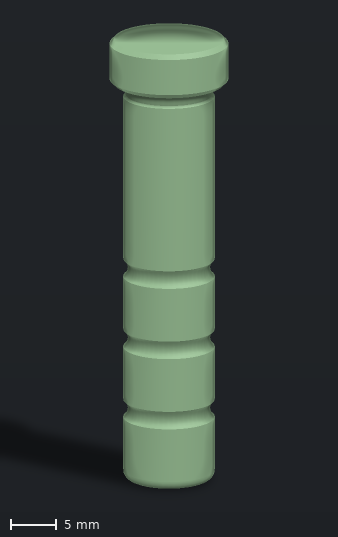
import cadquery as cq

total_length = 50.0
head_diameter = 13.0
head_height = 5.0
head_chamfer = 0.5

shank_diameter = 10.0
tip_fillet = 1.0

neck_diameter = 9.5
neck_length = 1.25
neck_taper = (shank_diameter - neck_diameter) / 2

groove_count = 3
groove_pitch = 8.0
groove_width = 2.0
groove_depth = 0.5

shank_radius = shank_diameter / 2
neck_radius = neck_diameter / 2
head_bottom = total_length - head_height
neck_bottom = head_bottom - neck_length


def make_head():
    """Disc with both rims chamfered."""
    return (
        cq.Workplane("XY", origin=(0, 0, head_bottom))
        .circle(head_diameter / 2)
        .extrude(head_height)
        .edges()
        .chamfer(head_chamfer)
    )


def make_shank():
    """Revolved pin with a rounded tip, arc grooves and a tapered step to the neck."""
    half_width = groove_width / 2
    profile = cq.Workplane("XZ").lineTo(shank_radius, 0)
    for index in range(1, groove_count + 1):
        groove_center = index * groove_pitch
        profile = profile.lineTo(shank_radius, groove_center - half_width).threePointArc(
            (shank_radius - groove_depth, groove_center),
            (shank_radius, groove_center + half_width),
        )
    profile = (
        profile.lineTo(shank_radius, neck_bottom - neck_taper)
        .lineTo(neck_radius, neck_bottom)
        .lineTo(neck_radius, head_bottom)
        .lineTo(0, head_bottom)
        .close()
    )
    shank = profile.revolve(360, (0, 0, 0), (0, 1, 0))
    return shank.faces("<Z").edges().fillet(tip_fillet)


result = make_shank().union(make_head())